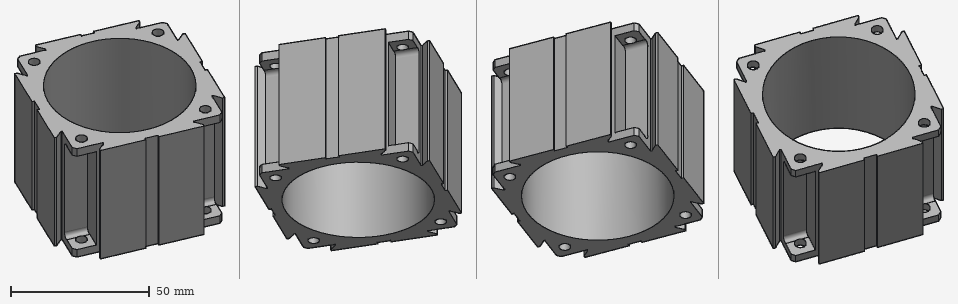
import cadquery as cq

width = 66.04
height = 50.0
half_width = width / 2

core_half = 29.0
corner_chamfer = 1.3
bore_diameter = 55.2

rail_half_width = 20.1
rail_lip = 0.9
rail_undercut = 2.6
rail_neck_half = rail_half_width - rail_undercut
rail_neck_start = half_width - rail_lip - rail_undercut

groove_width = 5.0
groove_depth = 0.9

ear_thickness = 3.5
pocket_wall = rail_half_width
pocket_height = height - 2 * ear_thickness

relief_radius = 1.55
relief_wall_overcut = 0.1
relief_ear_overcut = 0.2

ear_hole_diameter = 4.2
ear_hole_offset = 24.0

side_angles = (0, 90, 180, 270)


def make_core():
    """Square block with chamfered upright corners."""
    return (
        cq.Workplane("XY")
        .rect(2 * core_half, 2 * core_half)
        .extrude(height)
        .edges("|Z")
        .chamfer(corner_chamfer)
    )


def make_rail():
    """Dovetail rail on the +X side, reaching inward to the core's centre."""
    half_outline = [
        (0, rail_neck_half),
        (rail_neck_start, rail_neck_half),
        (half_width - rail_lip, rail_half_width),
        (half_width, rail_half_width),
        (half_width, groove_width / 2),
        (half_width - groove_depth, groove_width / 2),
    ]
    mirrored = [(x, -y) for x, y in reversed(half_outline)]
    return cq.Workplane("XY").polyline(half_outline + mirrored).close().extrude(height)


def make_corner_pocket(x_side, y_side):
    """Cutter open to both outer faces, with a round relief where its X wall meets each ear.

    Each relief runs along Y and cuts slightly past the wall and the ear face.
    """
    depth = core_half - pocket_wall
    middle = (core_half + pocket_wall) / 2
    wall_inset = relief_radius - relief_wall_overcut
    ear_inset = relief_radius - relief_ear_overcut
    relief_x = x_side * (pocket_wall + wall_inset - middle)
    relief_z = pocket_height / 2 - ear_inset
    wall_side = cq.Workplane("XY").box(depth, depth, 2 * relief_z)
    open_side = (
        cq.Workplane("XY")
        .box(depth - wall_inset, depth, pocket_height)
        .translate((x_side * wall_inset / 2, 0, 0))
    )
    reliefs = (
        cq.Workplane("XZ", origin=(0, depth / 2, 0))
        .pushPoints([(relief_x, relief_z), (relief_x, -relief_z)])
        .circle(relief_radius)
        .extrude(depth)
    )
    cutter = wall_side.union(open_side).union(reliefs)
    return cutter.translate((x_side * middle, y_side * middle, height / 2))


def make_ear_holes():
    """Through holes, one at each corner, passing through both ears."""
    return (
        cq.Workplane("XY")
        .rect(2 * ear_hole_offset, 2 * ear_hole_offset, forConstruction=True)
        .vertices()
        .circle(ear_hole_diameter / 2)
        .extrude(height)
    )


body = make_core()
for angle in side_angles:
    body = body.union(make_rail().rotate((0, 0, 0), (0, 0, 1), angle))

bore = cq.Workplane("XY").circle(bore_diameter / 2).extrude(height)
body = body.cut(bore)

for x_side in (-1, 1):
    for y_side in (-1, 1):
        body = body.cut(make_corner_pocket(x_side, y_side))

result = body.cut(make_ear_holes())